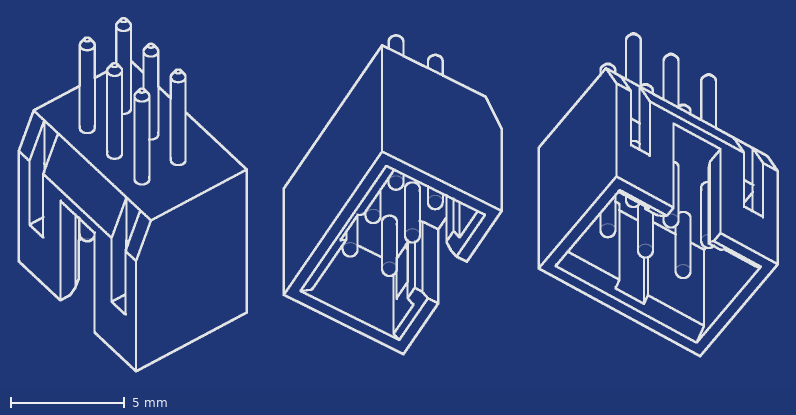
import cadquery as cq

WIDTH = 8.6
DEPTH = 6.1
TOTAL_HEIGHT = 14.4
HOUSING_HEIGHT = 8.9
FRONT_Y = -DEPTH / 2

SLOPE_DEPTH = 0.82
SLOPE_HEIGHT = 2.03

SIDE_WALL = 0.55
FRONT_WALL = SLOPE_DEPTH
PAD_THICKNESS = 1.12
PAD_STEP = PAD_THICKNESS - FRONT_WALL
PAD_OUTER_X = 2.02
CEILING_THICKNESS = 2.7
CEILING_Z = HOUSING_HEIGHT - CEILING_THICKNESS
CAVITY_WIDTH = WIDTH - 2 * SIDE_WALL
LEAD_IN = 0.59

WINDOW_WIDTH = 2.49
WINDOW_FLARE = 0.13
SLOT_WIDTH = 1.01
SLOT_HEIGHT = 5.99
SLOT_X = 3.01

GROOVE_WIDTH = 1.51
GROOVE_DEPTH = 0.3

PIN_RADIUS = 0.33
PIN_PITCH = 2.0
PIN_BOTTOM_Z = 1.97
PIN_TIP_HEIGHT = 0.35
PIN_TIP_RADIUS = 0.13
COLUMNS = (-1, 0, 1)
ROWS = (-0.5, 0.5)


def box(width, depth, height, x, y, z):
    """Box centred on x and y, with its underside at z."""
    return cq.Workplane("XY").box(width, depth, height, (True, True, False)).translate((x, y, z))


def make_block():
    """Solid block with the sloped top front edge."""
    block = box(WIDTH, DEPTH, HOUSING_HEIGHT, 0, 0, 0)
    return block.faces(">Z").edges("<Y").chamfer(SLOPE_HEIGHT, SLOPE_DEPTH)


def make_cavity():
    """Cavity with a flared mouth on its front and back walls."""
    front = FRONT_Y + PAD_THICKNESS
    back = -front
    profile = [
        (front - LEAD_IN, 0),
        (back + LEAD_IN, 0),
        (back, LEAD_IN),
        (back, CEILING_Z),
        (front, CEILING_Z),
        (front, LEAD_IN),
    ]
    return cq.Workplane("YZ").polyline(profile).close().extrude(CAVITY_WIDTH / 2, both=True)


def make_front_recess(side):
    """Recess that thins the front wall from the pad out to the side wall."""
    width = CAVITY_WIDTH / 2 - PAD_OUTER_X
    y = FRONT_Y + FRONT_WALL + PAD_STEP / 2
    return box(width, PAD_STEP, CEILING_Z, side * (PAD_OUTER_X + width / 2), y, 0)


def make_window_flare():
    """Slight widening of the window through the thick inner part of the front wall."""
    near = FRONT_Y + FRONT_WALL
    far = FRONT_Y + PAD_THICKNESS
    half_width = WINDOW_WIDTH / 2
    profile = [
        (-half_width, near),
        (half_width, near),
        (half_width + WINDOW_FLARE, far),
        (-half_width - WINDOW_FLARE, far),
    ]
    return cq.Workplane("XY").polyline(profile).close().extrude(CEILING_Z)


def make_front_opening(width, height, x, z):
    """Opening through the full thickness of the front wall."""
    return box(width, FRONT_WALL, height, x, FRONT_Y + FRONT_WALL / 2, z)


def make_groove():
    """Groove cut into the cavity side of the back wall."""
    y = DEPTH / 2 - PAD_THICKNESS + GROOVE_DEPTH / 2
    return box(GROOVE_WIDTH, GROOVE_DEPTH, CEILING_Z, 0, y, 0)


def make_pin(x, y):
    """Round pin with a conical top and a hemispherical bottom."""
    pin = (
        cq.Workplane("XZ")
        .moveTo(0, PIN_BOTTOM_Z)
        .radiusArc((PIN_RADIUS, PIN_BOTTOM_Z + PIN_RADIUS), -PIN_RADIUS)
        .lineTo(PIN_RADIUS, TOTAL_HEIGHT - PIN_TIP_HEIGHT)
        .lineTo(PIN_TIP_RADIUS, TOTAL_HEIGHT)
        .lineTo(0, TOTAL_HEIGHT)
        .close()
        .revolve(360, (0, 0), (0, 1))
    )
    return pin.translate((x, y, 0))


result = make_block().cut(make_cavity()).cut(make_groove()).cut(make_window_flare())
result = result.cut(make_front_opening(WINDOW_WIDTH, CEILING_Z, 0, 0))
for side in (-1, 1):
    slot = make_front_opening(SLOT_WIDTH, SLOT_HEIGHT, side * SLOT_X, HOUSING_HEIGHT - SLOT_HEIGHT)
    result = result.cut(slot).cut(make_front_recess(side))
for column in COLUMNS:
    for row in ROWS:
        result = result.union(make_pin(column * PIN_PITCH, row * PIN_PITCH))